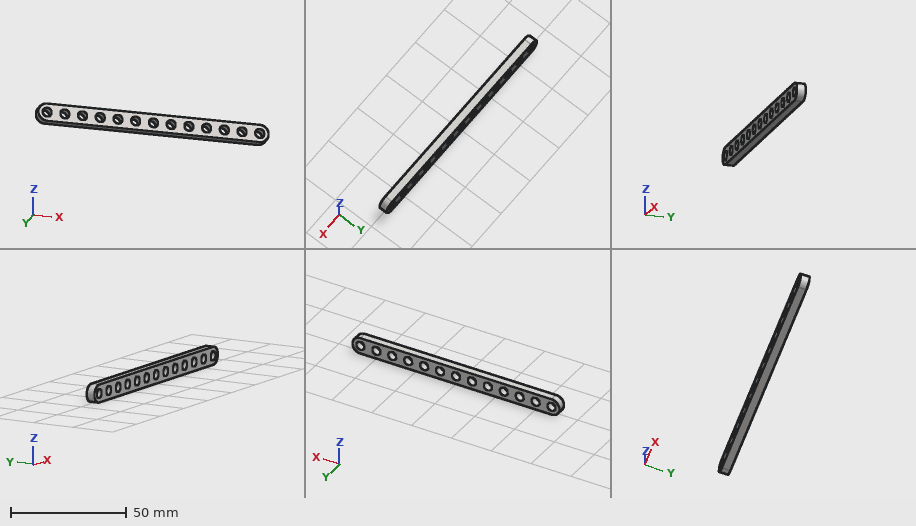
import cadquery as cq

hole_count = 13
hole_pitch = 8.0
hole_diameter = 4.0
bar_height = 8.0
bar_thickness = 4.0

hole_span = (hole_count - 1) * hole_pitch
bar_length = hole_span + bar_height


def round_ended_bar():
    """Flat bar along X with full-radius ends, centred on the origin."""
    return (
        cq.Workplane("XZ", origin=(0, bar_thickness / 2, 0))
        .slot2D(bar_length, bar_height)
        .extrude(bar_thickness)
    )


def drill_hole_row(bar):
    """Drill evenly spaced holes along X, through the full thickness."""
    first_hole_x = -hole_span / 2
    hole_centers = [(first_hole_x + i * hole_pitch, 0) for i in range(hole_count)]
    return bar.faces("<Y").workplane(origin=(0, 0, 0)).pushPoints(hole_centers).hole(hole_diameter)


result = drill_hole_row(round_ended_bar())